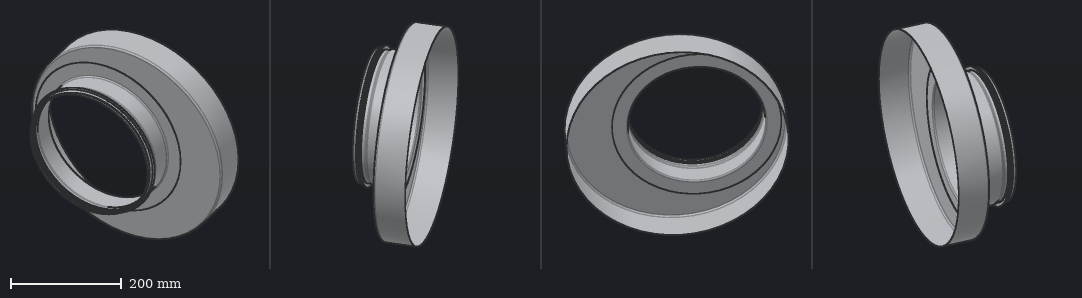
import cadquery as cq
import math

SHEET = 0.5

CAP_DIAMETER = 401.5
CAP_BEND = 3.5
CAP_FRONT_Y = 0.0
CAP_DEPTH = 60.0

COLLAR_X = -38.25
COLLAR_DIAMETER = 248.9
FLANGE_DIAMETER = 306.0
TOTAL_LENGTH = 126.0
FLANGE_BEND = 2.3
GROOVE_DIAMETER = 244.1
BACK_WALL_TOP = 26.0
BACK_WALL_ANGLE = math.radians(34)
BACK_WALL_BEND = 2.0
FRONT_WALL_FOOT = 10.5
FRONT_WALL_TOP = 6.1
MOUTH_TAPER_LENGTH = 2.3
MOUTH_TAPER_DROP = 0.5

BAND_DIAMETER = 245.3
UPRIGHT_LIP_DIAMETER = 259.3
UPRIGHT_LIP_FRONT = 14.5
UPRIGHT_LIP_THICKNESS = 1.0
SLANTED_LIP_DIAMETER = 254.3
SLANTED_LIP_BACK_DIAMETER = 253.9
SLANTED_LIP_FRONT = 11.6
SLANTED_LIP_BACK = 12.0
SLANTED_LIP_ROOT = 11.2
NOSE = 8.3

mouth_y = CAP_FRONT_Y + CAP_DEPTH - TOTAL_LENGTH
cap_back_y = CAP_FRONT_Y + CAP_DEPTH


def revolve_about(profile, axis_x):
    """Revolve a closed (radius, y) outline about the line parallel to Y at axis_x."""
    return profile.revolve(360, (0, 0, 0), (0, 1, 0)).translate((axis_x, 0, 0))


def bent_skin(corners, depth):
    """
    Lay out one skin of a bent sheet as a list of (bend start, bend middle, bend end).

    corners holds (radius, y, bend radius) of the outer skin in order, with the metal on
    the left of the path; depth is how far the skin lies inside the metal. A corner that
    has no bend, such as an end of the sheet, gives the same point three times.
    """
    points = [cq.Vector(r, y) for r, y, _ in corners]
    steps = [(b - a).normalized() for a, b in zip(points, points[1:])]
    before = [steps[0]] + steps
    after = steps + [steps[-1]]
    skin = []
    for point, (_, _, bend), into, out in zip(points, corners, before, after):
        normal_sum = cq.Vector(-into.y - out.y, into.x + out.x)
        miter = normal_sum / (1 + into.dot(out))
        corner = point + miter * depth
        left_turn = into.x * out.y - into.y * out.x
        if bend == 0:
            skin.append((corner, corner, corner))
            continue
        side = math.copysign(1, left_turn)
        radius = bend - side * depth
        trim = radius * math.tan(into.getAngle(out) / 2)
        centre = corner + miter * side * radius
        middle = centre - miter.normalized() * side * radius
        skin.append((corner - into * trim, middle, corner + out * trim))
    return skin


def sheet_profile(corners):
    """Closed outline of a sheet of constant thickness bent along the given corners."""
    outer = bent_skin(corners, 0)
    inner = [bend[::-1] for bend in reversed(bent_skin(corners, SHEET))]
    path = outer + inner
    profile = cq.Workplane("XY").moveTo(path[0][0].x, path[0][0].y)
    for start, middle, end in path[1:]:
        profile = profile.lineTo(start.x, start.y)
        if (end - start).Length > 0:
            profile = profile.threePointArc((middle.x, middle.y), (end.x, end.y))
    return profile.close()


def make_cap():
    rim_r = CAP_DIAMETER / 2
    corners = [
        (0, CAP_FRONT_Y, 0),
        (rim_r, CAP_FRONT_Y, CAP_BEND),
        (rim_r, cap_back_y, 0),
    ]
    flange_hole = (
        cq.Workplane("XZ", origin=(COLLAR_X, cap_back_y, 0))
        .circle(FLANGE_DIAMETER / 2)
        .extrude(CAP_DEPTH)
    )
    return revolve_about(sheet_profile(corners), 0).cut(flange_hole)


def make_collar():
    tube_r = COLLAR_DIAMETER / 2
    floor_r = GROOVE_DIAMETER / 2
    back_wall_run = (tube_r - floor_r) / math.tan(BACK_WALL_ANGLE)
    corners = [
        (FLANGE_DIAMETER / 2, CAP_FRONT_Y, 0),
        (tube_r, CAP_FRONT_Y, FLANGE_BEND),
        (tube_r, mouth_y + BACK_WALL_TOP, BACK_WALL_BEND),
        (floor_r, mouth_y + BACK_WALL_TOP - back_wall_run, BACK_WALL_BEND),
        (floor_r, mouth_y + FRONT_WALL_FOOT, 0),
        (tube_r, mouth_y + FRONT_WALL_TOP, 0),
        (tube_r, mouth_y + MOUTH_TAPER_LENGTH, 0),
        (tube_r - MOUTH_TAPER_DROP, mouth_y, 0),
    ]
    return revolve_about(sheet_profile(corners[::-1]), COLLAR_X)


def make_gasket():
    tube_r = COLLAR_DIAMETER / 2
    floor_r = GROOVE_DIAMETER / 2
    band_r = BAND_DIAMETER / 2
    upright_r = UPRIGHT_LIP_DIAMETER / 2
    upright_back = UPRIGHT_LIP_FRONT + UPRIGHT_LIP_THICKNESS
    front_wall_slope = (tube_r - floor_r) / (FRONT_WALL_FOOT - FRONT_WALL_TOP)
    nose_r = tube_r - (NOSE - FRONT_WALL_TOP) * front_wall_slope
    outline = [
        (floor_r, FRONT_WALL_FOOT),
        (nose_r, NOSE),
        (SLANTED_LIP_DIAMETER / 2, SLANTED_LIP_FRONT),
        (SLANTED_LIP_BACK_DIAMETER / 2, SLANTED_LIP_BACK),
        (band_r, SLANTED_LIP_ROOT),
        (band_r, UPRIGHT_LIP_FRONT),
        (upright_r, UPRIGHT_LIP_FRONT),
        (upright_r, upright_back),
        (floor_r, upright_back),
    ]
    points = [(radius, mouth_y + from_mouth) for radius, from_mouth in outline]
    profile = cq.Workplane("XY").polyline(points).close()
    return revolve_about(profile, COLLAR_X)


cap = make_cap()
collar = make_collar()
gasket = make_gasket()

result = cq.Compound.makeCompound([cap.val(), collar.val(), gasket.val()])